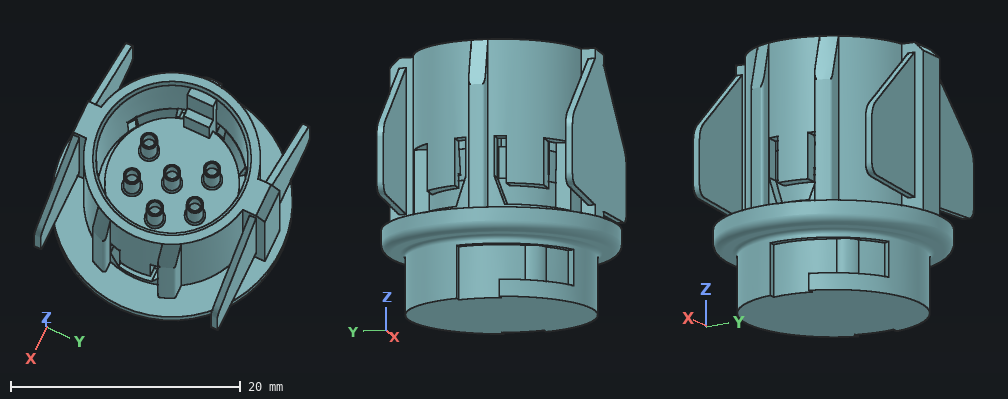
import cadquery as cq
import math

OVERRUN = 0.23
TOLERANCE = 0.002

TOTAL_HEIGHT = 23.0
FLANGE_RADIUS = 21.0 / 2
FLANGE_TOP = 7.52
FLANGE_BOTTOM = 5.47
FLANGE_ROUNDING = 0.83

PLUG_RADIUS = 8.4
PLUG_FILLET = 0.44
GROOVE_RADIUS = 7.75
GROOVE_TOP = 4.72
GROOVE_LEDGE = 1.52
GROOVE_HALF_WIDTH = 1.9
GROOVE_END_ANGLE = 243.0
BUMP_ANGLE = 217.2
BUMP_WIDTH = 1.98
BUMP_HEIGHT = 0.3

TUBE_RADIUS = 7.7
BORE_RADIUS = 6.62
BORE_FLOOR_RADIUS = 6.5
BORE_FLOOR = 10.85
RIM_CHAMFER_WIDTH = 0.28
RIM_CHAMFER_DEPTH = 0.32

INSERT_RADIUS = 5.86
INSERT_TOP = 13.8
PIN_RADIUS = 1.47 / 2
PIN_TOP = 17.7
PIN_CHAMFER = 0.12
PIN_FOOT_RADIUS = 1.82 / 2
PIN_FOOT_HEIGHT = 0.23
PIN_HOLE_RADIUS = 1.1 / 2
PIN_HOLE_DEPTH = 1.85
PIN_POINT_DEPTH = 0.32
PIN_CIRCLE_RADIUS = 3.5
PIN_ANGLES = (0, 60, 120, 240, 300)

KEY_WIDTH = 2.48
KEY_INNER_X = -5.8
KEY_TOP = 22.65
KEY_FOOT_X = -5.01
KEY_FOOT_TOP = PIN_TOP

SLOT_TOP = 14.4
SLOT_BOTTOM = 8.33
SLOT_BEVEL_TOP = BORE_FLOOR
SLOT_BEVEL_WIDTH = 0.9
TONGUE_BOTTOM = 10.21
SIDE_SLOT_Y = 1.29
SIDE_SLOT_X = -3.15
SIDE_TONGUE_NEAR_Y = 2.3
SIDE_TONGUE_FAR_Y = 5.25
BACK_TONGUE_HALF_WIDTH = (SIDE_TONGUE_FAR_Y - SIDE_TONGUE_NEAR_Y) / 2
BACK_SLOT_HALF_WIDTH = BACK_TONGUE_HALF_WIDTH + SIDE_TONGUE_NEAR_Y - SIDE_SLOT_Y
HOOK_BOTTOM = 11.5
SIDE_HOOK_END_ANGLE = 126.5

RIB_RADIUS = 8.8
RIB_WIDTH = 1.5
RIB_TAPER_BOTTOM = 18.81
RIB_ROUNDING = 0.23
SIDE_RIB_Y = 3.25

BAR_WIDTH = 3.08
WING_OUTER_Y = 8.8
WING_THICKNESS = 0.62
LONG_BAR_Y = 9.65
WING_HALF_SPAN = 9.48
WING_APEX = 22.08
WING_SHOULDER = 15.43
WING_LOWER_CORNER = 9.48
WING_LOWER_ROOT = 9.06
WING_SHOULDER_ROUNDING = 2.0
WING_LOWER_ROUNDING = 1.0


def box(x_range, y_range, z_range):
    """Axis-aligned block between the given limits."""
    lows, highs = zip(x_range, y_range, z_range)
    sizes = [high - low for low, high in zip(lows, highs)]
    return cq.Workplane("XY").box(*sizes, centered=False).translate(lows)


def ring(inner_radius, outer_radius, bottom, top):
    return (
        cq.Workplane("XY", origin=(0, 0, bottom))
        .circle(outer_radius)
        .circle(inner_radius)
        .extrude(top - bottom)
    )


def revolved(points):
    """Solid of revolution about Z from (radius, height) points."""
    return cq.Workplane("XZ").polyline(points).close().revolve(360, (0, 0), (0, 1))


def mirrored_pair(solid):
    """The solid together with its mirror image across the XZ plane."""
    return solid.union(solid.mirror("XZ"))


def polar(radius, angle):
    turn = math.radians(angle)
    return (radius * math.cos(turn), radius * math.sin(turn))


def make_flange_and_plug():
    round_sag = FLANGE_ROUNDING * (1 - math.sqrt(0.5))
    fillet_sag = PLUG_FILLET * (1 - math.sqrt(0.5))
    return (
        cq.Workplane("XZ")
        .moveTo(0, 0)
        .lineTo(PLUG_RADIUS, 0)
        .lineTo(PLUG_RADIUS, FLANGE_BOTTOM - PLUG_FILLET)
        .threePointArc(
            (PLUG_RADIUS + fillet_sag, FLANGE_BOTTOM - fillet_sag),
            (PLUG_RADIUS + PLUG_FILLET, FLANGE_BOTTOM),
        )
        .lineTo(FLANGE_RADIUS - FLANGE_ROUNDING, FLANGE_BOTTOM)
        .threePointArc(
            (FLANGE_RADIUS - round_sag, FLANGE_BOTTOM + round_sag),
            (FLANGE_RADIUS, FLANGE_BOTTOM + FLANGE_ROUNDING),
        )
        .lineTo(FLANGE_RADIUS, FLANGE_TOP)
        .lineTo(0, FLANGE_TOP)
        .close()
        .revolve(360, (0, 0), (0, 1))
    )


def make_bayonet_groove():
    """L-shaped groove, open at the bottom, with a rounded locking bump on its floor."""
    reach = 2 * PLUG_RADIUS
    entry_outline = box(
        (-reach, 0), (-GROOVE_HALF_WIDTH, GROOVE_HALF_WIDTH), (0, GROOVE_TOP)
    )
    run_outline = (
        cq.Workplane("XY", origin=(0, 0, GROOVE_LEDGE))
        .moveTo(0, GROOVE_HALF_WIDTH)
        .lineTo(-reach, GROOVE_HALF_WIDTH)
        .lineTo(-reach, -reach)
        .lineTo(*polar(reach, GROOVE_END_ANGLE))
        .lineTo(0, 0)
        .close()
        .extrude(GROOVE_TOP - GROOVE_LEDGE)
    )
    outer_skin = ring(GROOVE_RADIUS, PLUG_RADIUS + OVERRUN, 0, GROOVE_TOP)
    groove = entry_outline.union(run_outline).intersect(outer_skin)
    half_chord = BUMP_WIDTH / 2
    chord_radius = math.sqrt(GROOVE_RADIUS**2 - half_chord**2)
    rise = GROOVE_RADIUS + BUMP_HEIGHT - chord_radius
    bump_radius = (half_chord**2 + rise**2) / (2 * rise)
    bump = (
        cq.Workplane("XY", origin=(0, 0, GROOVE_LEDGE))
        .center(*polar(GROOVE_RADIUS + BUMP_HEIGHT - bump_radius, BUMP_ANGLE))
        .circle(bump_radius)
        .extrude(GROOVE_TOP - GROOVE_LEDGE)
    )
    return groove.cut(bump)


def make_wing_and_bar(bar_outer_y):
    """Wing plate on the +Y side with the bar that joins it to the tube."""
    half_bar = BAR_WIDTH / 2
    right_edge = [
        (half_bar, WING_APEX),
        (WING_HALF_SPAN, WING_SHOULDER),
        (WING_HALF_SPAN, WING_LOWER_CORNER),
        (half_bar, WING_LOWER_ROOT),
    ]
    left_edge = [(-x, z) for x, z in reversed(right_edge)]
    wing = (
        cq.Workplane("XZ", origin=(0, WING_OUTER_Y, 0))
        .polyline(right_edge + left_edge)
        .close()
        .extrude(WING_THICKNESS)
    )
    for corner_z, rounding in (
        (WING_SHOULDER, WING_SHOULDER_ROUNDING),
        (WING_LOWER_CORNER, WING_LOWER_ROUNDING),
    ):
        corners = wing.edges("|Y").filter(lambda edge: abs(edge.Center().z - corner_z) < TOLERANCE)
        wing = corners.fillet(rounding)
    bar = box((-half_bar, half_bar), (BORE_RADIUS, bar_outer_y), (FLANGE_TOP, TOTAL_HEIGHT))
    return wing.union(bar)


def make_wings():
    long_side = make_wing_and_bar(LONG_BAR_Y)
    long_side = long_side.edges("|X and >Y and >Z").chamfer(LONG_BAR_Y - WING_OUTER_Y)
    short_side = make_wing_and_bar(WING_OUTER_Y).mirror("XZ")
    return long_side.union(short_side)


def make_guide_ribs():
    """Ribs along X whose outer faces lean in to the tube at the rim."""
    envelope = revolved(
        [
            (0, FLANGE_TOP),
            (RIB_RADIUS, FLANGE_TOP),
            (RIB_RADIUS, RIB_TAPER_BOTTOM),
            (TUBE_RADIUS, TOTAL_HEIGHT),
            (0, TOTAL_HEIGHT),
        ]
    )

    round_bar = cq.Workplane("XY").circle(RIB_RADIUS).extrude(TOTAL_HEIGHT)

    def rib(center_y):
        half = RIB_WIDTH / 2
        inner_x = math.sqrt(BORE_RADIUS**2 - center_y**2)
        strip = box(
            (inner_x, RIB_RADIUS + OVERRUN),
            (center_y - half, center_y + half),
            (FLANGE_TOP, TOTAL_HEIGHT),
        )
        outline = strip.intersect(round_bar)
        outer_edges = outline.edges("|Z").filter(
            lambda edge: math.hypot(edge.Center().x, edge.Center().y) > RIB_RADIUS - TOLERANCE
        )
        return outer_edges.fillet(RIB_ROUNDING).intersect(envelope)

    key_side_rib = rib(0).mirror("YZ")
    return key_side_rib.union(mirrored_pair(rib(SIDE_RIB_Y)))


def make_bore():
    rim_start = TOTAL_HEIGHT - RIM_CHAMFER_DEPTH
    return revolved(
        [
            (0, BORE_FLOOR),
            (BORE_FLOOR_RADIUS, BORE_FLOOR),
            (BORE_RADIUS, rim_start),
            (BORE_RADIUS + RIM_CHAMFER_WIDTH, TOTAL_HEIGHT),
            (0, TOTAL_HEIGHT),
        ]
    )


def slot_around_tongue(outline, tongue):
    """Wall cut-out with the given YZ outline, leaving the tongue standing inside it."""
    prism = cq.Workplane("YZ").polyline(outline).close().extrude(RIB_RADIUS)
    wall = ring(BORE_FLOOR_RADIUS, TUBE_RADIUS + OVERRUN, SLOT_BOTTOM, SLOT_TOP)
    return prism.intersect(wall).cut(tongue)


def make_side_slot():
    """Slot on the -X, +Y side, ending at a plane across X."""
    outline = [
        (SIDE_SLOT_Y, SLOT_TOP),
        (SIDE_SLOT_Y, SLOT_BEVEL_TOP),
        (SIDE_SLOT_Y + SLOT_BEVEL_WIDTH, SLOT_BOTTOM),
        (TUBE_RADIUS, SLOT_BOTTOM),
        (TUBE_RADIUS, SLOT_TOP),
    ]
    tongue = box(
        (0, RIB_RADIUS), (SIDE_TONGUE_NEAR_Y, SIDE_TONGUE_FAR_Y), (TONGUE_BOTTOM, SLOT_TOP)
    )
    beyond = box((0, -SIDE_SLOT_X), (0, TUBE_RADIUS), (SLOT_BOTTOM, SLOT_TOP))
    return slot_around_tongue(outline, tongue).cut(beyond).mirror("YZ")


def make_back_slot():
    """Slot on the +X side, symmetric about the XZ plane."""
    right_edge = [
        (BACK_SLOT_HALF_WIDTH, SLOT_TOP),
        (BACK_SLOT_HALF_WIDTH, SLOT_BEVEL_TOP),
        (BACK_SLOT_HALF_WIDTH - SLOT_BEVEL_WIDTH, SLOT_BOTTOM),
    ]
    left_edge = [(-y, z) for y, z in reversed(right_edge)]
    tongue = box(
        (0, RIB_RADIUS),
        (-BACK_TONGUE_HALF_WIDTH, BACK_TONGUE_HALF_WIDTH),
        (TONGUE_BOTTOM, SLOT_TOP),
    )
    return slot_around_tongue(right_edge + left_edge, tongue)


def make_hooks():
    """Sloping catches on the inside of the tongues that hold the insert down."""
    catch_ring = revolved(
        [
            (INSERT_RADIUS, HOOK_BOTTOM),
            (TUBE_RADIUS, HOOK_BOTTOM),
            (TUBE_RADIUS, SLOT_TOP),
            (BORE_FLOOR_RADIUS, SLOT_TOP),
        ]
    ).intersect(cq.Workplane("XY").circle(BORE_RADIUS).extrude(TOTAL_HEIGHT))
    end_x, end_y = polar(2 * TUBE_RADIUS, SIDE_HOOK_END_ANGLE)
    side_band = (
        cq.Workplane("XY", origin=(0, 0, HOOK_BOTTOM))
        .polyline([(0, 0), (end_x, end_y), (end_x, SIDE_TONGUE_NEAR_Y), (0, SIDE_TONGUE_NEAR_Y)])
        .close()
        .extrude(SLOT_TOP - HOOK_BOTTOM)
    )
    back_band = box(
        (0, TUBE_RADIUS),
        (-BACK_TONGUE_HALF_WIDTH, BACK_TONGUE_HALF_WIDTH),
        (HOOK_BOTTOM, SLOT_TOP),
    )
    side_hooks = mirrored_pair(catch_ring.intersect(side_band))
    return side_hooks.union(catch_ring.intersect(back_band))


def make_insert():
    return (
        cq.Workplane("XY", origin=(0, 0, FLANGE_BOTTOM))
        .circle(INSERT_RADIUS)
        .extrude(INSERT_TOP - FLANGE_BOTTOM)
    )


def make_key():
    half = KEY_WIDTH / 2
    wall_x = -(BORE_RADIUS + RIM_CHAMFER_WIDTH)
    key = box((wall_x, KEY_INNER_X), (-half, half), (BORE_FLOOR, KEY_TOP))
    foot = box((wall_x, KEY_FOOT_X), (-half, half), (BORE_FLOOR, KEY_FOOT_TOP))
    return key.union(foot)


def make_pin():
    """Hollow contact pin with a flared foot, a chamfered tip and a drilled end."""
    hole_bottom = PIN_TOP - PIN_HOLE_DEPTH
    return revolved(
        [
            (0, BORE_FLOOR),
            (PIN_FOOT_RADIUS, BORE_FLOOR),
            (PIN_FOOT_RADIUS, INSERT_TOP),
            (PIN_RADIUS, INSERT_TOP + PIN_FOOT_HEIGHT),
            (PIN_RADIUS, PIN_TOP - PIN_CHAMFER),
            (PIN_RADIUS - PIN_CHAMFER, PIN_TOP),
            (PIN_HOLE_RADIUS, PIN_TOP),
            (PIN_HOLE_RADIUS, hole_bottom),
            (0, hole_bottom - PIN_POINT_DEPTH),
        ]
    )


tube = (
    cq.Workplane("XY", origin=(0, 0, FLANGE_TOP))
    .circle(TUBE_RADIUS)
    .extrude(TOTAL_HEIGHT - FLANGE_TOP)
)
body = make_flange_and_plug().union(tube).union(make_wings()).union(make_guide_ribs())

groove = make_bayonet_groove()
for turn in (0, 180):
    body = body.cut(groove.rotate((0, 0, 0), (0, 0, 1), turn))

body = body.cut(make_bore())
body = body.cut(mirrored_pair(make_side_slot())).cut(make_back_slot())

body = body.union(make_insert()).union(make_key()).union(make_hooks())
pin = make_pin()
pin_positions = [(0, 0)] + [polar(PIN_CIRCLE_RADIUS, angle) for angle in PIN_ANGLES]
for x, y in pin_positions:
    body = body.union(pin.translate((x, y, 0)))

result = body